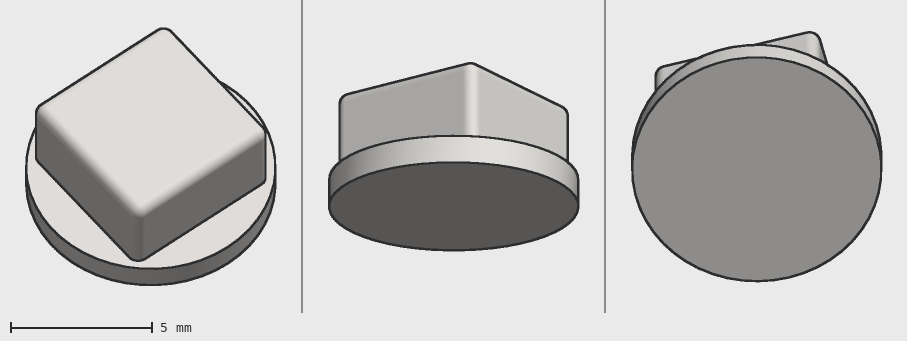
import cadquery as cq

flange_diameter = 8.8
flange_height = 1.0
total_height = 4.0
cap_width = 6.0
edge_radius = 0.4

cap_height = total_height - flange_height


def make_flange():
    """Round base disc, resting on Z = 0."""
    return cq.Workplane("XY").circle(flange_diameter / 2).extrude(flange_height)


def make_cap():
    """Square key cap on the flange, with rounded upright and top edges."""
    block = (
        cq.Workplane("XY")
        .workplane(offset=flange_height)
        .rect(cap_width, cap_width)
        .extrude(cap_height)
    )
    return block.edges("|Z or >Z").fillet(edge_radius)


result = make_flange().union(make_cap())